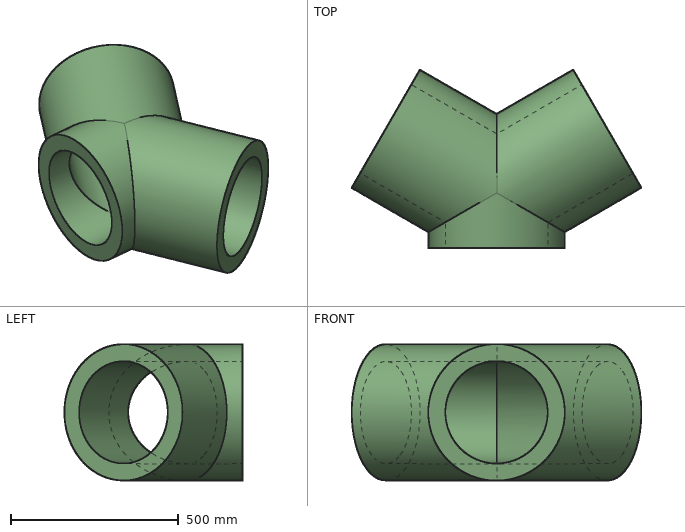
import cadquery as cq
import math

overall_width = 863.0
outer_diameter = 406.5
bore_diameter = 305.0
stem_length = 165.0
arm_rise_angle = 30.0

rise = math.radians(arm_rise_angle)
rim_overhang = outer_diameter / 2 * math.sin(rise)
arm_length = (overall_width / 2 - rim_overhang) / math.cos(rise)

stem_bore_length = outer_diameter

left_arm_direction = 180 - arm_rise_angle
stem_direction = -90


def branch_cylinder(diameter, direction, length):
    """Cylinder from the common centre outward, direction in degrees from +X in the XY plane."""
    return (
        cq.Workplane("YZ")
        .circle(diameter / 2)
        .extrude(length)
        .rotate((0, 0, 0), (0, 0, 1), direction)
    )


def three_branches(diameter, stem_extent):
    """Two arms and a stem joined at the common centre."""
    right_arm = branch_cylinder(diameter, arm_rise_angle, arm_length)
    left_arm = branch_cylinder(diameter, left_arm_direction, arm_length)
    stem = branch_cylinder(diameter, stem_direction, stem_extent)
    return right_arm.union(left_arm).union(stem)


outer_body = three_branches(outer_diameter, stem_length)
bores = three_branches(bore_diameter, stem_bore_length)
result = outer_body.cut(bores)